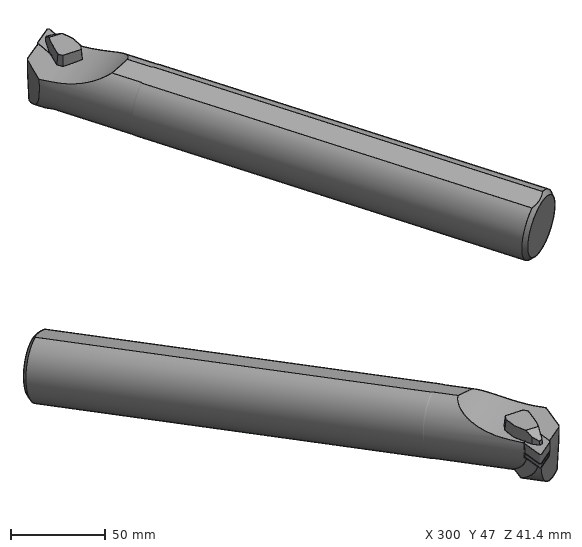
import cadquery as cq
import math

bar_length = 300.0
overall_width = 47.0
shank_radius = 40.0 / 2
neck_radius = 19.8
flat_height = 37.5 / 2
neck_end = 70.0
step_length = 0.5
end_chamfer = 2.5

head_radius = 45.3 / 2
head_center_y = 2.85
head_end = 17.0
neck_start = 22.2
head_nose_setback = 0.5
corner_drop = 30.5
bevel_angle = 47
corner_radius = 4.0
lower_clearance = 2.5

tip_y = overall_width - shank_radius
rake_across = 10
rake_along = 4.5
scoop_start = 22.0
scoop_radius = 64.5

lead_angle = 3
tip_angle = 55
insert_circle = 12.5
insert_side = insert_circle / math.sin(math.radians(tip_angle))
insert_thickness = 6.0
nose_radius = 0.8
shim_thickness = 2.7
shim_inset = 0.3
seat_depth = insert_thickness + shim_thickness

clamp_height = 6.5
clamp_nose_height = 2.0
clamp_slope_length = 7.5
clamp_axis_angle = -37
clamp_taper = 6
clamp_outline = [
    (4.5, -8.7),
    (3.5, -10.8),
    (10.2, -20.0),
    (19.0, -29.5),
    (22.5, -29.5),
    (29.5, -19.5),
    (27.3, -15.5),
    (20.5, -11.0),
    (15.0, -9.5),
    (8.7, -8.0),
]

past = 60

rake_slope_y = math.tan(math.radians(rake_across))
rake_slope_x = math.tan(math.radians(rake_along))
rake_plane = cq.Plane(
    origin=(0, tip_y, 0),
    xDir=(1, 0, rake_slope_x),
    normal=(-rake_slope_x, rake_slope_y, 1),
)
along_rake_normal = cq.selectors.ParallelDirSelector(rake_plane.zDir)


def heading(angle):
    """Unit vector in the rake plane."""
    return cq.Vector(math.cos(math.radians(angle)), math.sin(math.radians(angle)))


front_edge = heading(lead_angle - 90)
back_edge = heading(lead_angle - 90 + tip_angle)
bisector = heading(lead_angle - 90 + tip_angle / 2)
half_tip_sine = math.sin(math.radians(tip_angle / 2))
nose_center = cq.Vector(nose_radius, -nose_radius)
sharp_tip = nose_center - bisector * (nose_radius / half_tip_sine)
head_tip = sharp_tip + bisector * (head_nose_setback / half_tip_sine)


def prism(points, top, depth):
    """Prism normal to the rake plane, from height `top` down by `depth`."""
    outline = [cq.Vector(point).toTuple()[:2] for point in points]
    return cq.Workplane(rake_plane).workplane(offset=top).polyline(outline).close().extrude(-depth)


def rhombus(top, depth, inset=0.0):
    """Rhombic prism with the insert's outline, drawn in from all four sides by `inset`."""
    side = insert_side - 2 * inset / math.sin(math.radians(tip_angle))
    corner = sharp_tip + bisector * (inset / half_tip_sine)
    points = [
        corner,
        corner + front_edge * side,
        corner + (front_edge + back_edge) * side,
        corner + back_edge * side,
    ]
    return prism(points, top, depth)


def make_bar():
    """Stepped round bar, not yet flattened."""
    profile = [
        (0, 0),
        (0, neck_radius),
        (neck_end, neck_radius),
        (neck_end + step_length, shank_radius),
        (bar_length - end_chamfer, shank_radius),
        (bar_length, shank_radius - end_chamfer),
        (bar_length, 0),
    ]
    return cq.Workplane("XY").polyline(profile).close().revolve(360, (0, 0, 0), (1, 0, 0))


def make_head():
    """Larger round head tapering into the neck, with its wall below the insert's back edge."""
    cylinder = cq.Workplane("YZ").center(head_center_y, 0).circle(head_radius).extrude(head_end)
    taper = (
        cq.Workplane("YZ", origin=(head_end, 0, 0))
        .center(head_center_y, 0)
        .circle(head_radius)
        .workplane(offset=neck_start - head_end)
        .center(-head_center_y, 0)
        .circle(neck_radius)
        .loft()
    )
    wall_start = head_tip - back_edge * past
    wall_end = head_tip + back_edge * past
    outward = cq.Vector(-back_edge.y, back_edge.x) * past
    clearance = [wall_start, wall_end, wall_end + outward, wall_start + outward]
    return cylinder.union(taper).cut(prism(clearance, past, 2 * past))


def front_space():
    """Space in front of the head's front wall, rounded corner and bevelled wall.

    The walls are square to the rake plane down to the seat and lean back below it.
    """
    corner = head_tip + front_edge * corner_drop
    wall_start = head_tip - front_edge * past
    bevel_end = corner + heading(-bevel_angle) * past
    points = [wall_start, corner, bevel_end, (-past, bevel_end.y), (-past, wall_start.y)]
    corner_edge = cq.selectors.NearestToPointSelector(rake_plane.toWorldCoords(corner).toTuple())
    upper = (
        prism(points, past, past + seat_depth)
        .edges(along_rake_normal)
        .edges(corner_edge)
        .fillet(corner_radius)
    )
    lowest_face = cq.selectors.DirectionMinMaxSelector(rake_plane.zDir, directionMax=False)
    seat_outline = upper.faces(lowest_face).wires().val()
    lower = (
        cq.Workplane(rake_plane)
        .workplane(offset=-seat_depth)
        .add(seat_outline)
        .toPending()
        .extrude(-past, taper=-lower_clearance)
    )
    return upper.union(lower)


def scoop():
    """Space above the rake plane, curving upwards towards the shank."""
    return (
        cq.Workplane(rake_plane)
        .transformed(rotate=(90, 0, 0))
        .moveTo(-past, 0)
        .lineTo(scoop_start, 0)
        .radiusArc((scoop_start + scoop_radius, scoop_radius), -scoop_radius)
        .lineTo(-past, scoop_radius)
        .close()
        .extrude(2 * past, both=True)
    )


def flats():
    """Space above and below the flats that run along the bar."""
    above = cq.Workplane("XY").box(2 * bar_length, past, past, centered=(True, True, False))
    top = above.translate((bar_length / 2, 0, flat_height))
    bottom = above.translate((bar_length + neck_end, 0, -flat_height - past))
    return top.union(bottom)


def make_clamp():
    """Raised clamp finger, sloping down towards its nose over the insert."""
    clamp = (
        cq.Workplane(rake_plane)
        .polyline(clamp_outline)
        .close()
        .extrude(clamp_height, taper=clamp_taper)
    )
    nose = cq.Vector(*clamp_outline[0])
    slope_plane = cq.Workplane(rake_plane).transformed(
        offset=(nose.x, nose.y, 0), rotate=(0, 0, clamp_axis_angle)
    ).transformed(rotate=(90, 0, 0))
    slope = (
        slope_plane.polyline([
            (0, clamp_nose_height),
            (clamp_slope_length, clamp_height),
            (clamp_slope_length, past),
            (-past, past),
            (-past, clamp_nose_height),
        ])
        .close()
        .extrude(past, both=True)
    )
    return clamp.cut(slope)


def make_holder():
    """Bar, head, clamp and shim in one piece, with a pocket for the insert."""
    shim = rhombus(-insert_thickness, shim_thickness, shim_inset)
    return (
        make_bar()
        .union(make_head())
        .cut(front_space())
        .cut(scoop())
        .cut(flats())
        .union(make_clamp())
        .cut(rhombus(0, seat_depth))
        .union(shim.edges(along_rake_normal).fillet(nose_radius))
    )


def make_insert():
    """Rhombic cutting insert, level with the rake plane."""
    return rhombus(0, insert_thickness).edges(along_rake_normal).fillet(nose_radius)


holder = make_holder()
insert = make_insert()
result = cq.Compound.makeCompound([holder.val(), insert.val()])